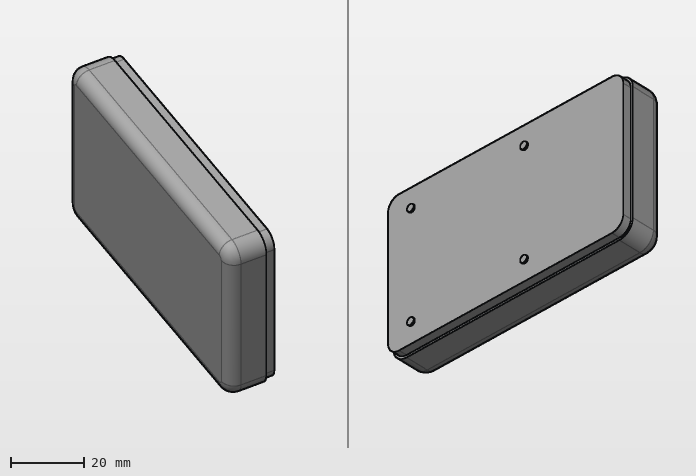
import cadquery as cq

width = 90.0
height = 54.0
body_depth = 12.0
corner_radius = 5.0
front_fillet = 4.0

lip_inset = 0.8
lip_depth = 3.0

pin_diameter = 2.5
overall_depth = 15.5
left_pin_x = -7.2
right_pin_x = 35.3
pin_z = 19.0

lip_back = body_depth + lip_depth
pin_height = overall_depth - lip_back


def back_facing_plane(y):
    """Plane at depth y whose extrusions grow toward +Y, with local Y along Z."""
    return cq.Plane(origin=(0, y, 0), xDir=(-1, 0, 0), normal=(0, 1, 0))


def rounded_slab(inset, y, depth):
    """Slab from y to y + depth, inset from the outer outline, with concentric corners."""
    return (
        cq.Workplane(back_facing_plane(y))
        .rect(width - 2 * inset, height - 2 * inset)
        .extrude(depth)
        .edges("|Y")
        .fillet(corner_radius - inset)
    )


body = rounded_slab(0, 0, body_depth).faces("<Y").edges().fillet(front_fillet)
lip = rounded_slab(lip_inset, body_depth, lip_depth)

pin_centers = [(-x, z) for x in (left_pin_x, right_pin_x) for z in (-pin_z, pin_z)]
pins = (
    cq.Workplane(back_facing_plane(lip_back))
    .pushPoints(pin_centers)
    .circle(pin_diameter / 2)
    .extrude(pin_height)
)

result = body.union(lip).union(pins)